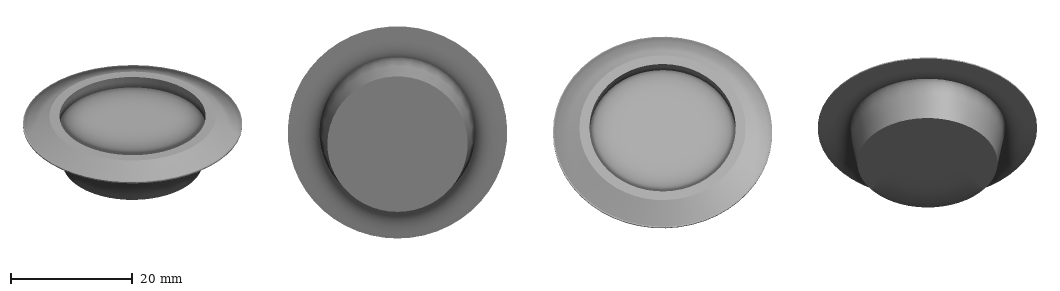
import cadquery as cq

flange_diameter = 36.0
flange_top_diameter = 27.3
flange_height = 1.7
rim_height = 0.2
rim_ledge_width = 0.2

total_height = 9.0
plug_top_diameter = 25.6
plug_bottom_diameter = 23.0

recess_diameter = 24.0
recess_depth = 2.0

plug_height = total_height - flange_height


def revolved_body():
    """Plug and sloped flange as one profile turned about the Z axis."""
    profile = (
        cq.Workplane("XZ")
        .moveTo(0, 0)
        .lineTo(plug_bottom_diameter / 2, 0)
        .lineTo(plug_top_diameter / 2, plug_height)
        .lineTo(flange_diameter / 2, plug_height)
        .lineTo(flange_diameter / 2, plug_height + rim_height)
        .lineTo(flange_diameter / 2 - rim_ledge_width, plug_height + rim_height)
        .lineTo(flange_top_diameter / 2, total_height)
        .lineTo(0, total_height)
        .close()
    )
    return profile.revolve(360, (0, 0, 0), (0, 1, 0))


def top_recess():
    """Flat-bottomed round recess, open at the top."""
    return (
        cq.Workplane("XY")
        .workplane(offset=total_height - recess_depth)
        .circle(recess_diameter / 2)
        .extrude(recess_depth)
    )


result = revolved_body().cut(top_recess())